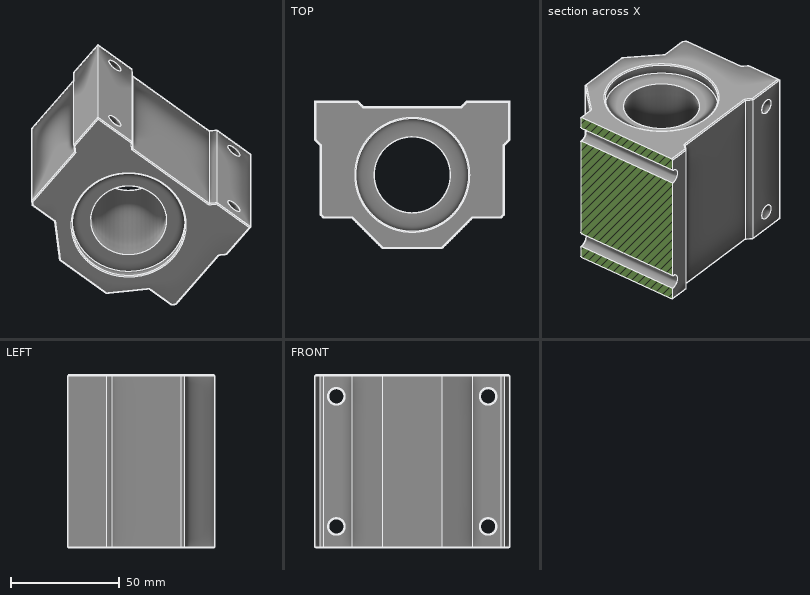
import cadquery as cq

width = 90.0
depth = 68.0
height = 80.0
half_width = width / 2
half_depth = depth / 2
end_chamfer = 0.5

side_step = 2.5
flank_step_y = 16.0
relief_half_width = 25.0
relief_depth = 2.5
shoulder_y = -20.0
shoulder_chamfer = 1.5
nose_half_width = 13.8
flank_x = half_width - side_step
nose_root_x = nose_half_width + half_depth + shoulder_y

hole_diameter = 7.0
hole_spacing_x = 70.0
hole_spacing_z = 60.0
hole_chamfer = 0.5

bearing_outer_diameter = 52.0
bearing_bore_diameter = 35.0
bearing_length = 70.0


def make_profile():
    """Closed housing cross-section, mirrored about the YZ plane."""
    right_side = [
        (nose_half_width, -half_depth),
        (nose_root_x, shoulder_y),
        (flank_x - shoulder_chamfer, shoulder_y),
        (flank_x, shoulder_y + shoulder_chamfer),
        (flank_x, flank_step_y - side_step),
        (half_width, flank_step_y),
        (half_width, half_depth),
        (relief_half_width, half_depth),
        (relief_half_width - relief_depth, half_depth - relief_depth),
    ]
    left_side = [(-x, y) for x, y in reversed(right_side)]
    return right_side + left_side


def make_screw_hole(x, z):
    """Cutter for a through hole, countersunk at its shoulder end."""
    radius = hole_diameter / 2
    mouth_radius = radius + hole_chamfer
    return (
        cq.Workplane("XY")
        .polyline([
            (0, shoulder_y),
            (mouth_radius, shoulder_y),
            (radius, shoulder_y + hole_chamfer),
            (radius, half_depth),
            (0, half_depth),
        ])
        .close()
        .revolve(360, (0, 0), (0, 1))
        .translate((x, 0, z))
    )


def make_housing():
    body = (
        cq.Workplane("XY")
        .polyline(make_profile())
        .close()
        .extrude(height / 2, both=True)
    )
    bore = cq.Workplane("XY").circle(bearing_outer_diameter / 2).extrude(height / 2, both=True)
    body = body.cut(bore)
    body = body.faces("<Z or >Z").chamfer(end_chamfer)
    for x in (-hole_spacing_x / 2, hole_spacing_x / 2):
        for z in (-hole_spacing_z / 2, hole_spacing_z / 2):
            body = body.cut(make_screw_hole(x, z))
    return body


def make_bearing():
    """Plain sleeve seated centrally, recessed equally at both ends."""
    return (
        cq.Workplane("XY")
        .circle(bearing_outer_diameter / 2)
        .circle(bearing_bore_diameter / 2)
        .extrude(bearing_length / 2, both=True)
    )


housing = make_housing()
bearing = make_bearing()

result = cq.Compound.makeCompound([housing.val(), bearing.val()])